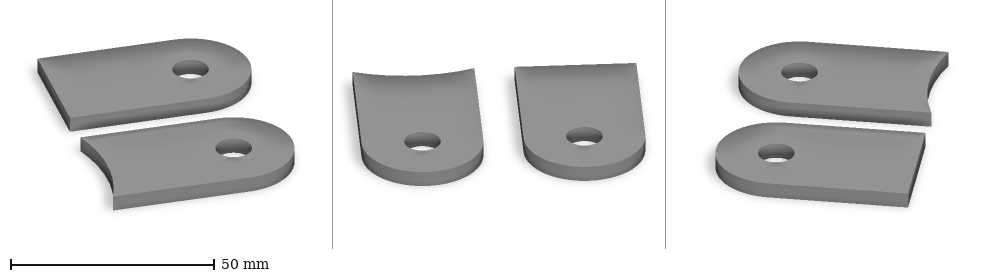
import cadquery as cq

overall_width = 70.0
tab_width = 30.0
tab_length = 50.0
thickness = 4.0
hole_diameter = 9.0
saddle_depth = 2.7

end_radius = tab_width / 2
hole_height = tab_length - end_radius
saddle_tab_x = overall_width - tab_width


def round_end_outline(left_x):
    """Open outline: up the right side, around the round end and down the left side."""
    center_x = left_x + end_radius
    right_x = left_x + tab_width
    return (
        cq.Workplane("XY")
        .moveTo(right_x, 0)
        .lineTo(right_x, hole_height)
        .threePointArc((center_x, tab_length), (left_x, hole_height))
        .lineTo(left_x, 0)
    )


def pin_hole(left_x):
    """Cylinder that cuts the through hole of a tab."""
    center_x = left_x + end_radius
    return cq.Workplane("XY").center(center_x, hole_height).circle(hole_diameter / 2).extrude(thickness)


def make_flat_tab(left_x):
    """Tab with a straight foot."""
    return round_end_outline(left_x).close().extrude(thickness).cut(pin_hole(left_x))


def make_saddle_tab(left_x):
    """Tab whose foot is a concave arc."""
    foot_middle = (left_x + end_radius, saddle_depth)
    foot_corner = (left_x + tab_width, 0)
    outline = round_end_outline(left_x).threePointArc(foot_middle, foot_corner).close()
    return outline.extrude(thickness).cut(pin_hole(left_x))


flat_tab = make_flat_tab(0)
saddle_tab = make_saddle_tab(saddle_tab_x)

result = cq.Compound.makeCompound([flat_tab.val(), saddle_tab.val()])